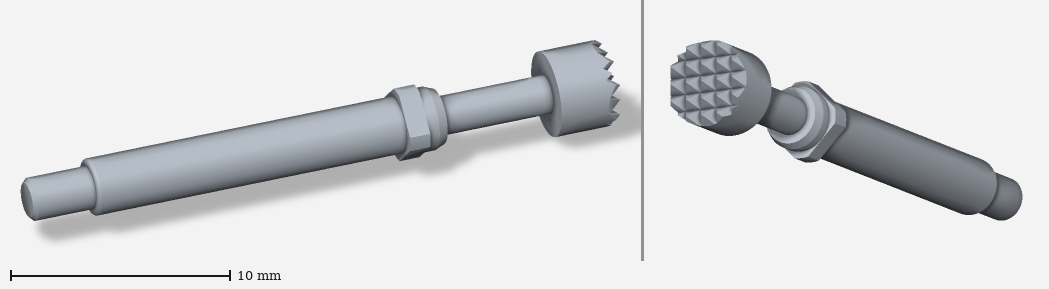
import cadquery as cq
import math


total_length = 28.3
head_length = 3.0
stem_length = 5.3
collar_length = 1.02
nut_length = 1.0
tail_length = 3.0

head_diameter = 4.0
stem_diameter = 1.8
collar_diameter = 2.97
nut_diameter = 3.6
body_diameter = 2.65
tail_diameter = 2.0

nut_across_flats = 3.0

tail_chamfer = 0.2
body_end_fillet = 0.2
collar_taper_length = 0.45
collar_taper_diameter = 2.6

teeth_across = 5
tooth_pitch = head_diameter / teeth_across
tooth_angle = 60.0
tooth_height = tooth_pitch / 2 / math.tan(math.radians(tooth_angle / 2))

head_base = total_length - head_length
collar_top = head_base - stem_length
nut_top = collar_top - collar_length
nut_base = nut_top - nut_length


def cylinder(diameter, start, end):
    """Solid cylinder about the Y axis between two Y stations."""
    return cq.Workplane("XZ", origin=(0, start, 0)).circle(diameter / 2).extrude(start - end)


def make_tail():
    """Chamfered tail pin."""
    return cylinder(tail_diameter, 0, nut_base).faces("<Y").chamfer(tail_chamfer)


def make_body():
    """Main barrel, rounded at its tail end."""
    return cylinder(body_diameter, tail_length, nut_base).faces("<Y").fillet(body_end_fillet)


def make_nut():
    """Round disc with four flats that face the diagonals of X and Z."""
    flats = (
        cq.Workplane("XY")
        .box(nut_across_flats, nut_length, nut_across_flats)
        .rotate((0, 0, 0), (0, 1, 0), 45)
        .translate((0, nut_base + nut_length / 2, 0))
    )
    return cylinder(nut_diameter, nut_base, nut_top).intersect(flats)


def make_collar():
    """Round collar that tapers towards the stem."""
    radial_taper = (collar_diameter - collar_taper_diameter) / 2
    collar = cylinder(collar_diameter, nut_top, collar_top)
    return collar.faces(">Y").chamfer(collar_taper_length, radial_taper)


def make_groove(offset):
    """V groove along Z, centred at X = offset, open at the end of the head."""
    return (
        cq.Workplane("XY", origin=(0, 0, -head_diameter))
        .moveTo(offset, total_length - tooth_height)
        .lineTo(offset + tooth_pitch / 2, total_length)
        .lineTo(offset - tooth_pitch / 2, total_length)
        .close()
        .extrude(2 * head_diameter)
    )


def make_head():
    """Round head whose free end is cut into sharp pyramids."""
    head = cylinder(head_diameter, head_base, total_length)
    for index in range(teeth_across + 1):
        groove = make_groove((index - teeth_across / 2) * tooth_pitch)
        head = head.cut(groove)
        head = head.cut(groove.rotate((0, 0, 0), (0, 1, 0), 90))
    return head


stem = cylinder(stem_diameter, collar_top, head_base)

result = (
    make_tail()
    .union(make_body())
    .union(make_nut())
    .union(make_collar())
    .union(stem)
    .union(make_head())
)